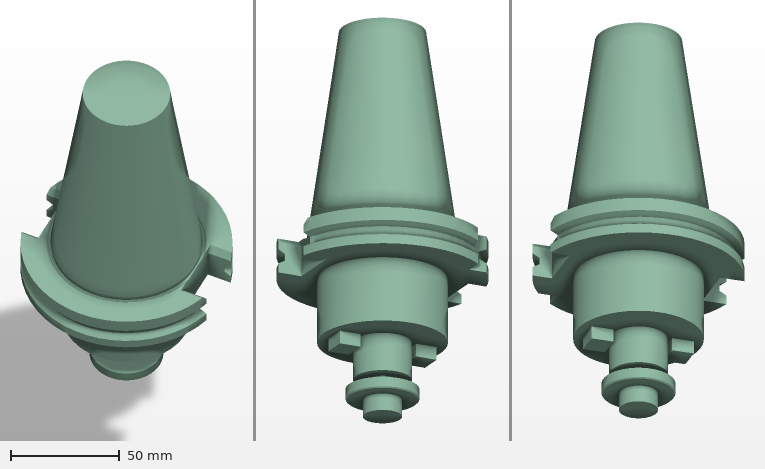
import cadquery as cq
import math

total_height = 187.6
taper_length = 101.7
neck_height = 1.3
flange_thickness = 17.6
body_length = 31.0
pilot_length = 18.2
screw_gap = 4.5
washer_thickness = 5.3

taper_bottom = total_height - taper_length
flange_top = taper_bottom - neck_height
flange_bottom = flange_top - flange_thickness
body_bottom = flange_bottom - body_length
pilot_bottom = body_bottom - pilot_length
washer_top = pilot_bottom - screw_gap
washer_bottom = washer_top - washer_thickness

gauge_diameter = 69.8
neck_diameter = 69.2
flange_diameter = 97.4
body_diameter = 60.0
pilot_diameter = 27.0
screw_diameter = 12.0
washer_diameter = 34.0
head_diameter = 18.0
washer_chamfer = 0.5

taper_ratio = 7 / 24
taper_top_diameter = gauge_diameter - taper_ratio * taper_length

groove_root_diameter = 91.0
groove_mouth_width = 7.0
groove_center = 74.9
groove_flank_angle = 30

relief_diameter = 73.5
relief_floor_diameter = 72.0
relief_depth = 0.8

slot_width = 25.5
slot_chamfer = 2.8
left_slot_floor = 37.7
right_slot_floor = 35.3
notch_offset = 29.8

key_width = 12.0
key_height = 6.2
key_inner_reach = 14.3
key_outer_reach = 24.8

overrun = 9.4


def cylinder(diameter, bottom, top):
    return cq.Workplane("XY").workplane(offset=bottom).circle(diameter / 2).extrude(top - bottom)


def revolve_profile(points):
    """Revolve a closed (radius, height) outline about Z."""
    return cq.Workplane("XZ").polyline(points).close().revolve(360, (0, 0, 0), (0, 1, 0))


def make_taper():
    return revolve_profile([
        (0, taper_bottom),
        (gauge_diameter / 2, taper_bottom),
        (taper_top_diameter / 2, total_height),
        (0, total_height),
    ])


def make_groove():
    root = groove_root_diameter / 2
    mouth = flange_diameter / 2
    half_mouth = groove_mouth_width / 2
    half_root = half_mouth - (mouth - root) * math.tan(math.radians(groove_flank_angle))
    return revolve_profile([
        (root, groove_center - half_root),
        (mouth, groove_center - half_mouth),
        (mouth + overrun, groove_center - half_mouth),
        (mouth + overrun, groove_center + half_mouth),
        (mouth, groove_center + half_mouth),
        (root, groove_center + half_root),
    ])


def make_relief():
    return revolve_profile([
        (neck_diameter / 2, flange_top - relief_depth),
        (relief_floor_diameter / 2, flange_top - relief_depth),
        (relief_diameter / 2, flange_top),
        (neck_diameter / 2, flange_top),
    ])


def make_slot(floor, side):
    """Radial slot cutter, flared at the top; side is -1 for -X and +1 for +X."""
    half = slot_width / 2
    length = flange_diameter / 2 + overrun - floor
    return (
        cq.Workplane("YZ")
        .workplane(offset=side * floor)
        .polyline([
            (-half, flange_bottom),
            (half, flange_bottom),
            (half, flange_top - slot_chamfer),
            (half + slot_chamfer, flange_top),
            (-half - slot_chamfer, flange_top),
            (-half, flange_top - slot_chamfer),
        ])
        .close()
        .extrude(side * length)
    )


def make_notch():
    size = flange_diameter / 2
    return (
        cq.Workplane("XY")
        .box(size, size, flange_thickness, centered=False)
        .translate((-notch_offset - size, notch_offset, flange_bottom))
    )


def make_flange():
    flange = cylinder(flange_diameter, flange_bottom, flange_top)
    flange = flange.cut(make_groove()).cut(make_relief()).cut(make_notch())
    return flange.cut(make_slot(left_slot_floor, -1)).cut(make_slot(right_slot_floor, 1))


def make_key(side):
    center = side * (key_inner_reach + key_outer_reach) / 2
    return (
        cq.Workplane("XY")
        .workplane(offset=body_bottom)
        .center(center, 0)
        .rect(key_outer_reach - key_inner_reach, key_width)
        .extrude(-key_height)
    )


def make_washer():
    washer = cylinder(washer_diameter, washer_bottom, washer_top)
    return washer.faces("<Z").edges().chamfer(washer_chamfer)


result = make_flange()
for feature in (
    make_taper(),
    cylinder(neck_diameter, flange_top - relief_depth, taper_bottom),
    cylinder(body_diameter, body_bottom, flange_bottom),
    cylinder(pilot_diameter, pilot_bottom, body_bottom),
    cylinder(screw_diameter, washer_top, pilot_bottom),
    make_washer(),
    cylinder(head_diameter, 0, washer_bottom),
    make_key(-1),
    make_key(1),
):
    result = result.union(feature)